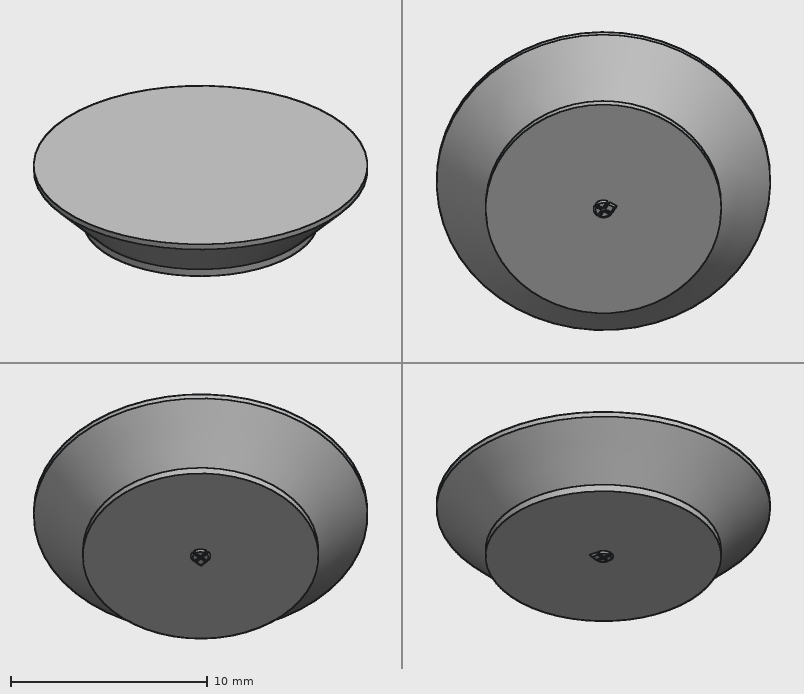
import cadquery as cq
import math

rim_diameter = 17.0
base_diameter = 12.0
rim_height = 0.3
cone_height = (rim_diameter - base_diameter) / 2
base_height = 0.4

boss_width = 1.0
boss_height = 0.1
boss_taper = 45.0
slot_width = 0.12


def make_body():
    """Revolved base, conical flank and rim, with the boss tip at Z = 0."""
    base_radius = base_diameter / 2
    rim_radius = rim_diameter / 2
    base_bottom = boss_height
    cone_bottom = base_bottom + base_height
    rim_bottom = cone_bottom + cone_height
    rim_top = rim_bottom + rim_height
    profile = (
        cq.Workplane("XZ")
        .moveTo(0, base_bottom)
        .lineTo(base_radius, base_bottom)
        .lineTo(base_radius, cone_bottom)
        .lineTo(rim_radius, rim_bottom)
        .lineTo(rim_radius, rim_top)
        .lineTo(0, rim_top)
        .close()
    )
    return profile.revolve(360, (0, 0, 0), (0, 1, 0))


def quarter_of(boss, x_side, y_side):
    """Keep the part of a boss lying beyond both slots on the given sides (+1 or -1)."""
    quarter_centre = (slot_width + boss_width) / 2
    quarter_zone = (
        cq.Workplane("XY")
        .center(x_side * quarter_centre, y_side * quarter_centre)
        .rect(boss_width, boss_width)
        .extrude(boss_height)
    )
    return boss.intersect(quarter_zone)


def add_boss(body):
    """Add three rounded quarters and one square-cornered quarter on the -X -Y side."""
    tip_width = boss_width - 2 * boss_height * math.tan(math.radians(boss_taper))
    round_boss = cq.Workplane("XY").circle(tip_width / 2).extrude(boss_height, taper=-boss_taper)
    square_boss = (
        cq.Workplane("XY")
        .rect(tip_width, tip_width)
        .workplane(offset=boss_height)
        .rect(boss_width, boss_width)
        .loft()
    )
    for x_side in (-1, 1):
        for y_side in (-1, 1):
            is_square_corner = x_side < 0 and y_side < 0
            boss = square_boss if is_square_corner else round_boss
            body = body.union(quarter_of(boss, x_side, y_side))
    return body


result = add_boss(make_body())